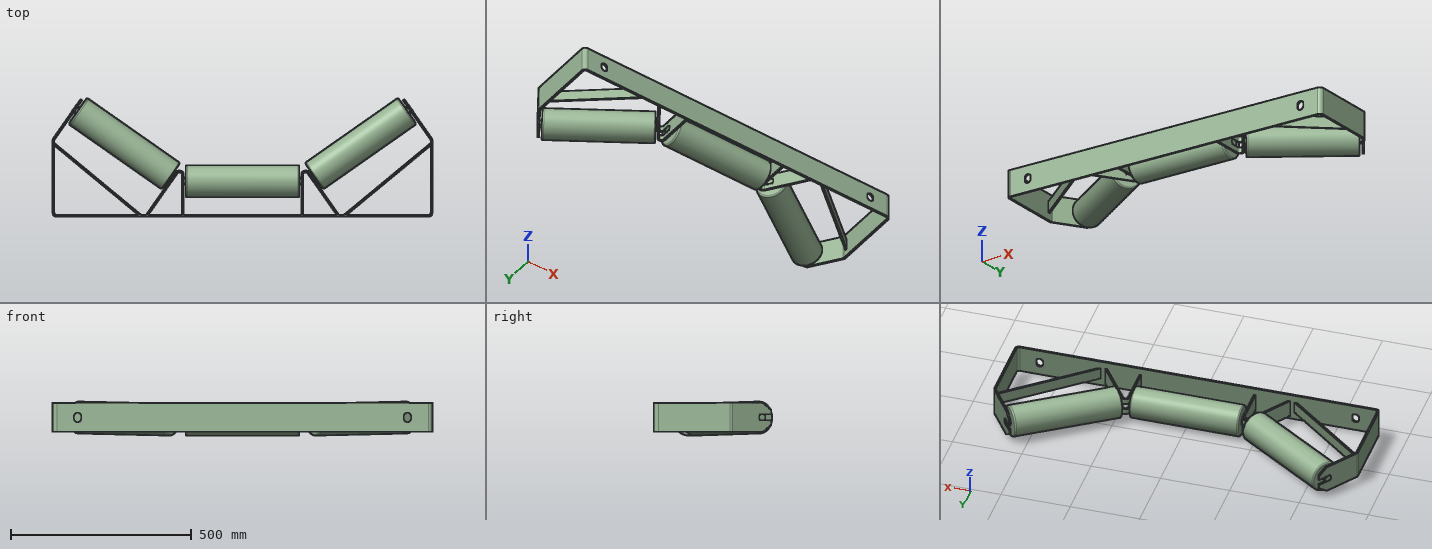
import cadquery as cq
import math

frame_length = 1050.0
strip_height = 80.0
strip_thickness = 5.0
bend_radius = 9.0
trough_angle = 35.0

side_wall_height = 214.0
wing_length = 135.0
wing_chamfer_along = 26.0
wing_chamfer_across = 19.0

mount_hole_spacing = 911.0
mount_hole_width = 20.0
mount_hole_height = 26.0

roller_diameter = 89.0
roller_length = 314.0
roller_rim_radius = 4.0
axle_diameter = 21.0
axle_flat_width = 17.0
slot_reach = 63.0

centre_roller_y = 99.0
centre_roller_z = 34.0
side_roller_x = 327.0
side_roller_y = 203.0
bracket_gap = 5.0
wing_gap = 7.0

bracket_height = 50.0

brace_height = 34.0
brace_foot_x = 284.0
brace_wall_y = 201.0

half_length = frame_length / 2
half_thickness = strip_thickness / 2
mid_height = strip_height / 2
angle = math.radians(trough_angle)
wing_x = math.sin(angle)
wing_y = math.cos(angle)
inner_axle_reach = roller_length / 2 + bracket_gap + strip_thickness
outer_axle_reach = roller_length / 2 + wing_gap + strip_thickness

side_tilt = math.degrees(math.asin((mid_height - centre_roller_z) / (inner_axle_reach + outer_axle_reach)))
side_roller_z = (mid_height + centre_roller_z) / 2


def bent_strip(points, height, middle_z):
    """Sweep a strip of the given height, centred on middle_z, along a bent path.

    The points are the sharp corners of the path at mid thickness.
    """
    corners = [cq.Vector(x, y, middle_z) for x, y in points]
    path = cq.Wire.makePolygon(corners).fillet(bend_radius)
    section = cq.Plane(origin=corners[0], xDir=(0, 0, 1), normal=corners[1] - corners[0])
    return cq.Workplane(section).rect(height, strip_thickness).sweep(cq.Workplane(path))


def both_sides(body):
    """Return the left body and its mirrored right copy."""
    return [body, body.mirror("YZ")]


def place_left(body):
    """Move a body built along X at the origin to the left side roller position."""
    tilted = body.rotate((0, 0, 0), (0, 1, 0), side_tilt)
    sloped = tilted.rotate((0, 0, 0), (0, 0, 1), -trough_angle)
    return sloped.translate((-side_roller_x, side_roller_y, side_roller_z))


def place_centre(body):
    return body.translate((0, centre_roller_y, centre_roller_z))


def axle(start, end):
    """Flatted axle bar along X."""
    length = end - start
    round_bar = cq.Workplane("YZ").circle(axle_diameter / 2).extrude(length)
    flats = cq.Workplane("XY").box(length, axle_diameter, axle_flat_width, centered=(False, True, True))
    return round_bar.intersect(flats).translate((start, 0, 0))


def roller(axle_start, axle_end):
    """Barrel centred on the origin, with its axle, along X."""
    end = cq.Workplane("YZ", origin=(-roller_length / 2, 0, 0))
    barrel = end.circle(roller_diameter / 2).extrude(roller_length)
    return barrel.edges().fillet(roller_rim_radius).union(axle(axle_start, axle_end))


def axle_slot(start, end):
    """Cutter from start to end along X: an axle seat open towards +Y."""
    opening = cq.Workplane("XY").box(
        end - start, slot_reach, axle_flat_width, centered=(False, False, True)
    )
    return axle(start, end).union(opening.translate((start, 0, 0)))


def wing_tip_chamfers():
    """Left-side cutter for the two corners of the wing tip."""
    tip = cq.Plane(
        origin=(-half_length + wing_length * wing_x, side_wall_height + wing_length * wing_y, mid_height),
        xDir=(wing_x, wing_y, 0),
        normal=(wing_y, -wing_x, 0),
    )
    cutters = cq.Workplane(tip)
    for side in (1, -1):
        edge = side * mid_height
        cutters = cutters.polyline(
            [(0, edge), (-wing_chamfer_along, edge), (0, edge - side * wing_chamfer_across)]
        ).close()
    return cutters.extrude(2 * strip_thickness, both=True)


def frame():
    wall_x = half_length - half_thickness
    corner_y = side_wall_height - half_thickness * math.tan(angle / 2)
    tip_x = half_length - wing_length * wing_x - half_thickness * wing_y
    tip_y = side_wall_height + wing_length * wing_y - half_thickness * wing_x
    right = [(wall_x, half_thickness), (wall_x, corner_y), (tip_x, tip_y)]
    left = [(-x, y) for x, y in reversed(right)]
    body = bent_strip(left + right, strip_height, mid_height)

    holes = (
        cq.Workplane("XZ", origin=(0, 0, mid_height))
        .pushPoints([(-mount_hole_spacing / 2, 0), (mount_hole_spacing / 2, 0)])
        .slot2D(mount_hole_height, mount_hole_width, 90)
        .extrude(-2 * strip_thickness)
    )
    body = body.cut(holes)

    slot = place_left(axle_slot(-outer_axle_reach - strip_thickness, -roller_length / 2))
    for cutter in both_sides(slot) + both_sides(wing_tip_chamfers()):
        body = body.cut(cutter)
    return body


def bracket():
    """Left bracket: an upright leg and a leg parallel to the wing, joined by a bend."""
    upright_x = -(roller_length / 2 + bracket_gap + half_thickness)
    leg_offset = roller_length / 2 + bracket_gap + half_thickness
    leg_x = -side_roller_x + leg_offset * wing_y
    leg_y = side_roller_y - leg_offset * wing_x
    apex_y = leg_y + (upright_x - leg_x) * wing_y / wing_x
    foot_x = upright_x - apex_y * wing_x / wing_y
    body = bent_strip([(foot_x, 0), (upright_x, apex_y), (upright_x, 0)], bracket_height, centre_roller_z)
    base = cq.Workplane("XY").box(frame_length, 2 * strip_thickness, 2 * strip_height)
    side_slot = place_left(axle_slot(roller_length / 2, inner_axle_reach + strip_thickness))
    centre_slot = place_centre(axle_slot(-inner_axle_reach - strip_thickness, -roller_length / 2))
    return body.cut(base).cut(side_slot).cut(centre_slot)


def brace():
    """Left brace: a flat bar from the base up to the side wall, trimmed to both inner faces."""
    wall_x = -half_length + strip_thickness
    run = -brace_foot_x - wall_x
    rise = brace_wall_y - strip_thickness
    middle = ((-brace_foot_x + wall_x) / 2, (strip_thickness + brace_wall_y) / 2, mid_height)
    bar = (
        cq.Workplane("XY")
        .box(2 * math.hypot(run, rise), strip_thickness, brace_height)
        .rotate((0, 0, 0), (0, 0, 1), -math.degrees(math.atan2(rise, run)))
        .translate(middle)
    )
    inside = cq.Workplane("XY").box(
        -2 * wall_x, frame_length, strip_height, centered=(True, False, False)
    ).translate((0, strip_thickness, 0))
    return bar.intersect(inside)


bodies = [frame(), place_centre(roller(-inner_axle_reach, inner_axle_reach))]
for left_body in (place_left(roller(-outer_axle_reach, inner_axle_reach)), bracket(), brace()):
    bodies += both_sides(left_body)

result = cq.Compound.makeCompound([body.solids().val() for body in bodies])